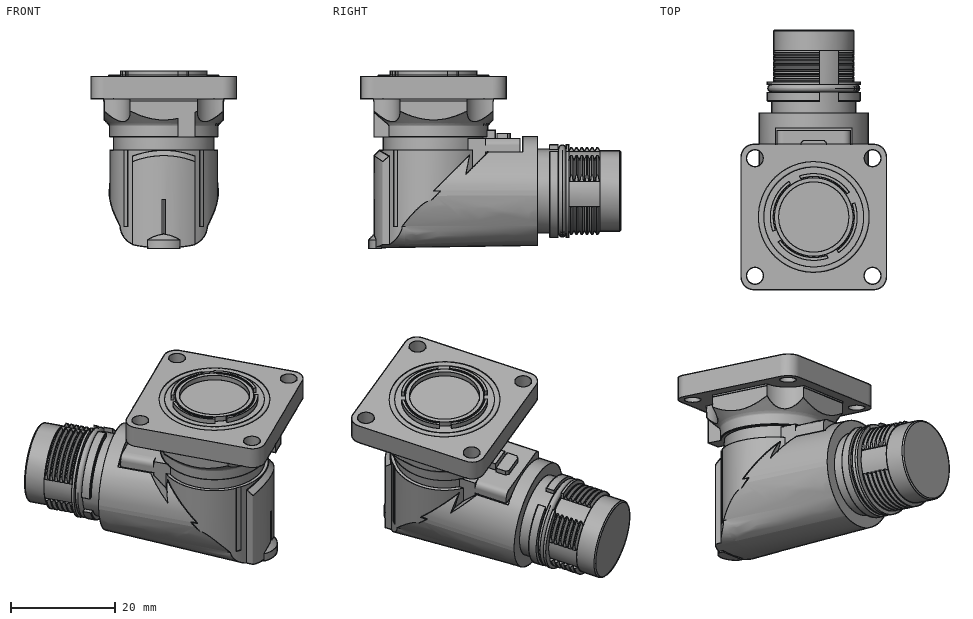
import cadquery as cq
import math


flange_side = 28
flange_top = 22.05
flange_bottom = 17.7
flange_corner_radius = 2.5
screw_offset = 11.3
screw_radius = 1.6

seal_outer_radius = 10.65
seal_inner_radius = 9.6
seal_height = 0.25
seal_rounding = 0.2
insert_top = 23.1
insert_bore_radius = 6.75
insert_radius = 7.55
latch_inner_radius = 7.8
latch_outer_radius = 8.35
latch_count = 4
latch_first_angle = 35
latch_span = 74
latch_root_start = 10
latch_root_span = 60
latch_root_step = 0.15

socket_half = 11.45
scallop_radius = 4.85
collar_radius = 10.45
collar_bottom = 10.35
collar_chamfer = 0.15
collar_top = 12.4
cone_start = 13
collar_root = 0.35
root_middle_share = 0.3
lip_half = 11.55
lip_bottom = 17.35
front_key_left = 2.75
front_key_right = 6
front_key_top = 16
rear_key_half_width = 2
rear_key_top = 11.7
rear_key_end = 11.9

neck_radius = 9.7
neck_bottom = 7.85
column_radius = 10.35
flute_angles = (-45, -135)
flute_half_width = 0.5
flute_depth = 0.1
body_bottom = -10.95

pad_radius = 11.45
pad_half_width = 6
pad_peak = 7.8
pad_shoulder = 6.7
pad_bevel = 1
pad_edge_radius = 0.2
groove_half_width = 0.4
groove_depth = 0.15
groove_top = -1.6
tab_radius = 4.05
tab_center_y = -8.45
tab_half_width = 3.1
tab_back = -10
tab_bottom = -11.1
tab_height = 3
tab_slope = 1.3

body_radius = 10.5
body_end = 20
flank_top_z = -1
flank_bulge = 0.2
corner_x = 8.5
corner_z = -6.8
corner_curve = (7.6, -9.35)
belly_edge = (5.5, -10.5)
round_end_angles = (-5, -22, -40, -52, -65)
diagonal_step = 1.35
notch_offset = 3
recess_half_width = 7.35
recess_end = 17.15
recess_floor = 7.5
saddle_top = 10.1
saddle_top_half_width = 5.8
saddle_foot_half_width = 7.1
saddle_gap = 0.5
cheek_bottom = 3.2
cheek_end = 10
cheek_front = 6.95
bump_half_width = 2.45
bump_start = 12.2
bump_end = 14.75
bump_top = 11.1
bump_slope = 0.5

tube_end = 36
tube_radius = 7.75
tube_end_chamfer = 0.25
shank_radius = 8.1
thread_start = 26
thread_pitch = 1
thread_count = 6
thread_radius = 8.35
shank_core = 6
thread_crest_half = 0.125
thread_root_radius = 7.65
thread_gap_bottom = -3
thread_gap_top = 1.8
shoulder_radius = 8.95
shoulder_width = 0.5
seal_ring_center = 24.75
seal_ring_section = 0.7
seal_ring_radius = 8.85
stop_start = 22.25
stop_end = 23.95
stop_chamfer = 0.15
top_gap_left = 1.15
top_gap_right = 4.75
side_gap_bottom = -3.75

overlap = 0.5


def disc(radius, bottom, top):
    """Vertical cylinder around the column axis."""
    return cq.Workplane("XY").workplane(offset=bottom).circle(radius).extrude(top - bottom)


def block(x_range, y_range, z_range):
    """Axis-aligned box given by its limits."""
    lows, highs = zip(x_range, y_range, z_range)
    size = [high - low for low, high in zip(lows, highs)]
    return cq.Workplane("XY").box(*size, centered=False).translate(lows)


def tube_section(radius, start, end):
    """Cylinder around the tube axis between two Y positions."""
    return cq.Workplane("XZ", origin=(0, start, 0)).circle(radius).extrude(start - end)


def polar(radius, degrees):
    """Plane coordinates of a point at a radius and angle."""
    angle = math.radians(degrees)
    return radius * math.cos(angle), radius * math.sin(angle)


def ring_segment(inner, outer, start, span, bottom, top):
    """Arc-shaped wall between two radii."""
    middle = start + span / 2
    end = start + span
    return (
        cq.Workplane("XY").workplane(offset=bottom)
        .moveTo(*polar(inner, start))
        .lineTo(*polar(outer, start))
        .threePointArc(polar(outer, middle), polar(outer, end))
        .lineTo(*polar(inner, end))
        .threePointArc(polar(inner, middle), polar(inner, start))
        .close().extrude(top - bottom)
    )


def make_flange():
    thickness = flange_top - flange_bottom
    return (
        cq.Workplane("XY").workplane(offset=flange_bottom)
        .rect(flange_side, flange_side).extrude(thickness)
        .edges("|Z").fillet(flange_corner_radius)
        .faces(">Z").workplane()
        .rect(2 * screw_offset, 2 * screw_offset, forConstruction=True)
        .vertices().hole(2 * screw_radius)
    )


def make_top_rings():
    seal_top = flange_top + seal_height
    seal = disc(seal_outer_radius, flange_top, seal_top)
    seal = seal.cut(disc(seal_inner_radius, flange_top, seal_top)).edges(">Z").fillet(seal_rounding)
    rings = seal.union(disc(insert_radius, flange_top, insert_top))
    for index in range(latch_count):
        start = latch_first_angle + index * 360 / latch_count
        rings = rings.union(ring_segment(
            latch_inner_radius, latch_outer_radius, start, latch_span, flange_top, insert_top))
        rings = rings.union(ring_segment(
            insert_bore_radius, latch_outer_radius, start + latch_root_start, latch_root_span,
            flange_top, insert_top - latch_root_step))
    return rings.cut(disc(insert_bore_radius, flange_top, insert_top))


def make_socket():
    """Square socket with a 45-degree conical underside, scalloped around the screws."""
    root_middle = (collar_radius + collar_root * root_middle_share, (collar_top + cone_start) / 2)
    envelope = (
        cq.Workplane("XZ")
        .moveTo(0, collar_bottom)
        .lineTo(collar_radius - collar_chamfer, collar_bottom)
        .lineTo(collar_radius, collar_bottom + collar_chamfer)
        .lineTo(collar_radius, collar_top)
        .threePointArc(root_middle, (collar_radius + collar_root, cone_start))
        .lineTo(collar_radius + collar_root + flange_bottom - cone_start, flange_bottom)
        .lineTo(0, flange_bottom)
        .close().revolve(360, (0, 0, 0), (0, 1, 0))
    )
    limits = (-socket_half, socket_half)
    socket = block(limits, limits, (collar_bottom, flange_bottom)).intersect(envelope)
    lip_limits = (-lip_half, lip_half)
    socket = socket.union(block(lip_limits, lip_limits, (lip_bottom, flange_bottom)))
    scallops = (
        cq.Workplane("XY").workplane(offset=collar_bottom)
        .rect(2 * screw_offset, 2 * screw_offset, forConstruction=True)
        .vertices().circle(scallop_radius).extrude(flange_bottom - collar_bottom)
    )
    front_key = block(
        (front_key_left, front_key_right), (-socket_half, 0), (collar_bottom, front_key_top))
    rear_key = block(
        (-rear_key_half_width, rear_key_half_width), (0, rear_key_end), (saddle_top, rear_key_top))
    return socket.cut(scallops).union(front_key).union(rear_key)


def body_outline(section_y, flank_top, flank_middle, corner, lower_curve, lower_edge, lowest_z):
    """Closed body cross-section; the points trace its right side downwards below a half circle."""
    def mirrored(point):
        return -point[0], point[1]

    return (
        cq.Workplane("XZ", origin=(0, section_y, 0))
        .moveTo(-body_radius, 0)
        .threePointArc((0, body_radius), (body_radius, 0))
        .lineTo(*flank_top)
        .threePointArc(flank_middle, corner)
        .threePointArc(lower_curve, lower_edge)
        .threePointArc((0, lowest_z), mirrored(lower_edge))
        .threePointArc(mirrored(lower_curve), mirrored(corner))
        .threePointArc(mirrored(flank_middle), mirrored(flank_top))
        .close()
    )


def front_outline():
    """Cross-section at the column: drooping flanks and a flat-curved belly."""
    flank_middle = ((body_radius + corner_x) / 2 + flank_bulge, (flank_top_z + corner_z) / 2)
    return body_outline(
        -pad_radius, (body_radius, flank_top_z), flank_middle, (corner_x, corner_z),
        corner_curve, belly_edge, body_bottom)


def make_belly_loft():
    """Body running from a round end at the tube to the drooping section at the column."""
    round_points = [polar(body_radius, angle) for angle in round_end_angles]
    round_end = body_outline(body_end, *round_points, -body_radius)
    return cq.Workplane(cq.Solid.makeLoft([round_end.val(), front_outline().val()], True))


def make_pad():
    """Raised grip pad on the column front with an arched, bevelled top."""
    half = pad_half_width
    arch = (
        cq.Workplane("XZ")
        .moveTo(-half, body_bottom)
        .lineTo(half, body_bottom)
        .lineTo(half, pad_shoulder)
        .threePointArc((0, pad_peak), (-half, pad_shoulder))
        .close().extrude(pad_radius + overlap)
    )
    pad = disc(pad_radius, body_bottom, pad_peak).intersect(arch)
    pad = pad.edges(cq.selectors.BoxSelector(
        (-half + overlap, -pad_radius - overlap, pad_shoulder - overlap),
        (half - overlap, -column_radius, pad_peak + overlap))).chamfer(pad_bevel)
    pad = pad.faces("<X or >X").edges("<Y").fillet(pad_edge_radius)
    groove = (
        cq.Workplane("XY").workplane(offset=body_bottom)
        .moveTo(-groove_half_width, -pad_radius)
        .lineTo(groove_half_width, -pad_radius)
        .lineTo(0, groove_depth - pad_radius)
        .close().extrude(groove_top - body_bottom)
    )
    return pad.cut(groove)


def make_column():
    """Upright column and pad, trimmed below to the belly of the body, with the neck on top."""
    half = pad_radius + overlap
    upper = block((-half, half), (-half, half), (0, neck_bottom))
    column = disc(column_radius, body_bottom, neck_bottom)
    for angle in flute_angles:
        flute = block(
            (column_radius - flute_depth, pad_radius),
            (-flute_half_width, flute_half_width),
            (corner_z, neck_bottom))
        column = column.cut(flute.rotate((0, 0, 0), (0, 0, 1), angle))
    column = column.union(make_pad()).intersect(make_belly_loft().union(upper))
    return column.union(disc(neck_radius, 0, collar_bottom))


def make_tab():
    """Round tab at the foot of the pad with a top sloping down outwards at 45 degrees."""
    tab = (
        cq.Workplane("XY", origin=(0, tab_center_y, tab_bottom))
        .circle(tab_radius).extrude(tab_height)
        .faces(">Z").chamfer(tab_slope)
    )
    kept = block(
        (-tab_half_width, tab_half_width),
        (tab_center_y - tab_radius, tab_back),
        (tab_bottom, tab_bottom + tab_height))
    return tab.intersect(kept)


def make_body():
    """Horizontal body, cut off along 45-degree steps where it meets the column."""
    recess_start = recess_floor + notch_offset
    side_profile = (
        cq.Workplane("YZ").workplane(offset=-body_radius)
        .moveTo(body_end, body_bottom)
        .lineTo(body_end, body_radius)
        .lineTo(recess_start, body_radius)
        .lineTo(recess_start, recess_floor)
        .lineTo(cheek_bottom + notch_offset, cheek_bottom)
        .lineTo(cheek_front, cheek_front)
        .lineTo(0, 0)
        .lineTo(diagonal_step, 0)
        .lineTo(diagonal_step + corner_z, corner_z)
        .lineTo(diagonal_step + corner_z, body_bottom)
        .close().extrude(2 * body_radius)
    )
    return make_belly_loft().intersect(side_profile)


def add_saddle(body):
    """Recess in the top of the body, refilled by a tapered saddle, cheeks and a small bump."""
    recess = block(
        (-recess_half_width, recess_half_width), (0, recess_end), (recess_floor, body_radius))
    saddle_end = recess_end - saddle_gap
    round_radius = saddle_foot_half_width - saddle_top_half_width
    saddle = (
        cq.Workplane("XZ", origin=(0, saddle_end, 0))
        .moveTo(-saddle_foot_half_width, recess_floor)
        .lineTo(saddle_foot_half_width, recess_floor)
        .lineTo(saddle_foot_half_width, saddle_top - round_radius)
        .radiusArc((saddle_top_half_width, saddle_top), -round_radius)
        .lineTo(-saddle_top_half_width, saddle_top)
        .radiusArc((-saddle_foot_half_width, saddle_top - round_radius), -round_radius)
        .close().extrude(saddle_end)
    )
    cheek = block(
        (-saddle_foot_half_width, saddle_foot_half_width), (0, cheek_end), (0, saddle_top))
    bump = (
        cq.Workplane("XY").workplane(offset=saddle_top)
        .moveTo(-bump_half_width, bump_start)
        .lineTo(bump_half_width, bump_start)
        .lineTo(bump_half_width, bump_end - bump_slope)
        .lineTo(bump_half_width - bump_slope, bump_end)
        .lineTo(bump_slope - bump_half_width, bump_end)
        .lineTo(-bump_half_width, bump_end - bump_slope)
        .close().extrude(bump_top - saddle_top)
    )
    return body.cut(recess).union(saddle).union(cheek).union(bump)


def make_threads():
    """Separate thread ridges with flats on both sides."""
    ridges = cq.Workplane("XY")
    for index in range(thread_count):
        half_root = thread_pitch / 2
        crest = thread_start + thread_pitch * index + half_root
        ridge = (
            cq.Workplane("XY")
            .moveTo(shank_core, crest - half_root)
            .lineTo(thread_root_radius, crest - half_root)
            .lineTo(thread_radius, crest - thread_crest_half)
            .lineTo(thread_radius, crest + thread_crest_half)
            .lineTo(thread_root_radius, crest + half_root)
            .lineTo(shank_core, crest + half_root)
            .close().revolve(360, (0, 0, 0), (0, 1, 0))
        )
        ridges = ridges.union(ridge)
    flats = block(
        (-tube_radius, tube_radius), (thread_start, tube_end), (-thread_radius, thread_radius))
    side_gap = block(
        (-thread_radius, thread_radius), (thread_start, tube_end),
        (thread_gap_bottom, thread_gap_top))
    return ridges.intersect(flats).cut(side_gap)


def make_tube():
    thread_end = thread_start + thread_pitch * thread_count
    tube = tube_section(tube_radius, thread_end, tube_end).faces(">Y").chamfer(tube_end_chamfer)
    top_gap = block(
        (top_gap_left, top_gap_right), (stop_start, tube_end), (0, shoulder_radius))
    side_gap = block((-shoulder_radius, 0), (stop_start, stop_end), (side_gap_bottom, 0))
    shoulder = tube_section(shoulder_radius, thread_start - shoulder_width, thread_start)
    stop = tube_section(shoulder_radius, stop_start, stop_end).faces("<Y").chamfer(stop_chamfer)
    seal_ring = cq.Workplane(cq.Solid.makeTorus(
        seal_ring_radius - seal_ring_section, seal_ring_section,
        cq.Vector(0, seal_ring_center, 0), cq.Vector(0, 1, 0)))
    return (
        make_threads().union(shoulder).union(stop)
        .cut(top_gap).cut(side_gap)
        .union(tube)
        .union(tube_section(thread_root_radius, body_end, thread_end))
        .union(tube_section(shank_radius, body_end, thread_start - shoulder_width))
        .union(seal_ring)
    )


result = (
    add_saddle(make_body())
    .union(make_column())
    .union(make_tab())
    .union(make_tube())
    .union(make_socket())
    .union(make_flange())
    .union(make_top_rings())
    .clean()
)